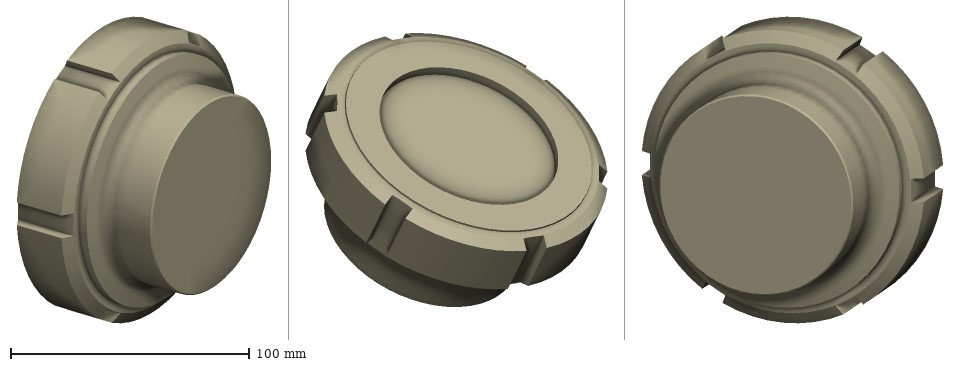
import cadquery as cq

total_length = 59.0

nut_diameter = 127.0
nut_front = 0.8
nut_rear = 29.7
nut_face_diameter = 116.8
nut_chamfer_length = 2.9

slot_count = 6
slot_width = 10.4
slot_floor_distance = 58.5

flange_diameter = 110.0
flange_rear = 33.9
nut_bore_diameter = 110.4
gap_depth = 2.5

neck_start = 35.4
neck_start_radius = 47.2
neck_end = 40.4
tube_diameter = 87.0
tube_edge_chamfer = 0.6

recess_diameter = 80.0
recess_depth = 4.5


def disc(diameter, start, end):
    """Solid cylinder along X between two stations."""
    return cq.Workplane("YZ").workplane(offset=start).circle(diameter / 2).extrude(end - start)


def revolve_about_x(profile):
    """Full turn of a profile drawn as (x, radius)."""
    return profile.close().revolve(360, (0, 0, 0), (1, 0, 0))


def make_liner():
    """Flange, conical back, concave neck and tube in one turned profile."""
    flange_radius = flange_diameter / 2
    tube_radius = tube_diameter / 2
    neck_length = neck_end - neck_start
    neck_drop = neck_start_radius - tube_radius
    neck_arc_radius = (neck_length**2 + neck_drop**2) / (2 * neck_drop)
    profile = (
        cq.Workplane("XY")
        .lineTo(0, flange_radius)
        .lineTo(flange_rear, flange_radius)
        .lineTo(neck_start, neck_start_radius)
        .radiusArc((neck_end, tube_radius), -neck_arc_radius)
        .lineTo(total_length - tube_edge_chamfer, tube_radius)
        .lineTo(total_length, tube_radius - tube_edge_chamfer)
        .lineTo(total_length, 0)
    )
    return revolve_about_x(profile)


def make_nut():
    """Ring nut body with both outer edges chamfered, still without its slots."""
    nut_radius = nut_diameter / 2
    face_radius = nut_face_diameter / 2
    profile = (
        cq.Workplane("XY")
        .moveTo(nut_front, 0)
        .lineTo(nut_front, face_radius)
        .lineTo(nut_front + nut_chamfer_length, nut_radius)
        .lineTo(nut_rear - nut_chamfer_length, nut_radius)
        .lineTo(nut_rear, face_radius)
        .lineTo(nut_rear, 0)
    )
    return revolve_about_x(profile)


def cut_wrench_slots(nut):
    """Flat-bottomed slots around the rim, the first one on the Y axis."""
    nut_length = nut_rear - nut_front
    slot_depth = nut_diameter / 2 - slot_floor_distance
    cutter = (
        cq.Workplane("XY")
        .box(nut_length, slot_depth, slot_width, centered=(False, False, True))
        .translate((nut_front, slot_floor_distance, 0))
    )
    for index in range(slot_count):
        angle = index * 360 / slot_count
        nut = nut.cut(cutter.rotate((0, 0, 0), (1, 0, 0), angle))
    return nut


gap_end = nut_front + gap_depth
nut = cut_wrench_slots(make_nut()).cut(disc(nut_bore_diameter, nut_front, gap_end))

recess = disc(recess_diameter, 0, recess_depth)
result = nut.union(make_liner()).cut(recess)